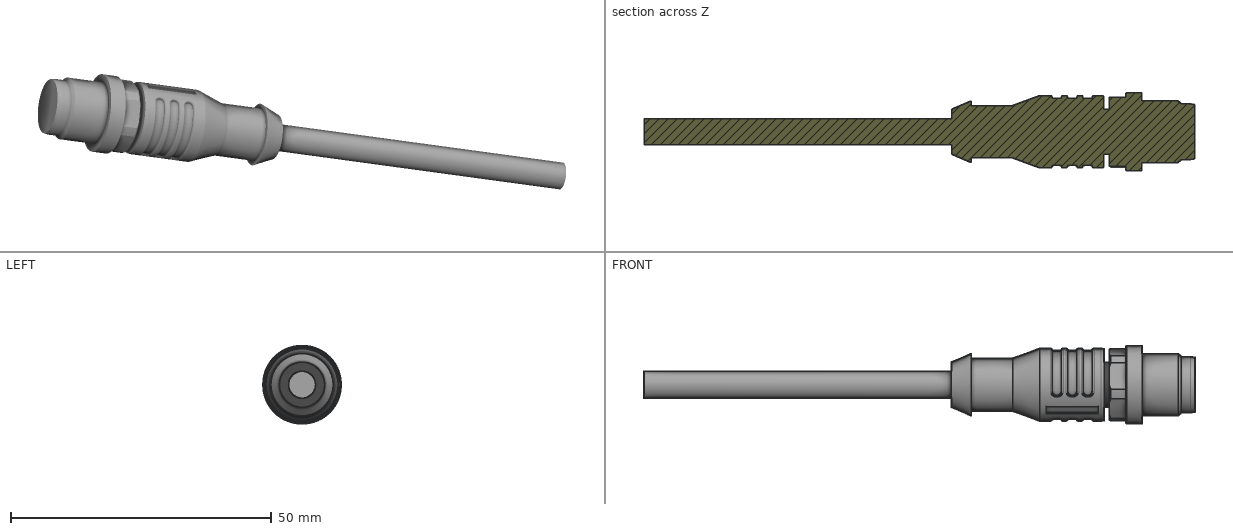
import cadquery as cq
import math

total_length = 106

cable_diameter = 5.2

boot_start = 59.1
boot_tip_diameter = 8.7
flare_end = 63.0
flare_diameter = 12.0
boot_neck_diameter = 10.2
shoulder_start = 70.9

grip_start = 76.1
grip_end = 88.5
grip_diameter = 14.0
grip_taper_start = 87.9
grip_end_diameter = 13.8

gap_diameter = 8.7

nut_start = 89.5
nut_diameter = grip_diameter
nut_across_flats = 12.9
nut_chamfer = 0.3
flat_turn = 15
half_face_turn = 180 / 6
flange_start = 92.6
flange_end = 95.8
flange_diameter = 15.0
flange_chamfer = 0.2

sleeve_diameter = 12.0
sleeve_chamfer_start = 102.7
collar_start = 103.4
collar_diameter = 10.8
collar_lip = 1.0
collar_tip_diameter = 10.5

groove_count = 3
groove_pitch = 3.0
groove_middle = 82.4
groove_width = 2.5
groove_depth = 0.5
groove_rim_radius = 0.4
groove_sweep = 112
groove_turns = (45, 225)
key_width = 1.8
key_depth = 0.4
key_start = 77.4
key_end = 87.3
key_turns = (135, 315)

x_axis = ((0, 0, 0), (1, 0, 0))


def turn_about_axis(solid, angle):
    """Turn a solid about X; 0 faces -Y and 90 faces +Z."""
    return solid.rotate(*x_axis, -angle)


def rod(start, end, diameter):
    """Round bar along X."""
    return cq.Workplane("YZ", origin=(start, 0, 0)).circle(diameter / 2).extrude(end - start)


def turned_body():
    """Everything round about X except the hexagon, as half of its outline revolved."""
    steps = [
        (0, cable_diameter),
        (boot_start, cable_diameter),
        (boot_start, boot_tip_diameter),
        (flare_end, flare_diameter),
        (flare_end, boot_neck_diameter),
        (shoulder_start, boot_neck_diameter),
        (grip_start, grip_diameter),
        (grip_taper_start, grip_diameter),
        (grip_end, grip_end_diameter),
        (grip_end, gap_diameter),
        (flange_start, gap_diameter),
        (flange_start, flange_diameter - 2 * flange_chamfer),
        (flange_start + flange_chamfer, flange_diameter),
        (flange_end, flange_diameter),
        (flange_end, sleeve_diameter),
        (sleeve_chamfer_start, sleeve_diameter),
        (collar_start, collar_diameter),
        (total_length - collar_lip, collar_diameter),
        (total_length, collar_tip_diameter),
    ]
    outline = [(0, 0)] + [(x, diameter / 2) for x, diameter in steps] + [(total_length, 0)]
    return cq.Workplane("XY").polyline(outline).close().revolve(360, *x_axis)


def nut_hexagon():
    """Hexagon whose corners are rounded off and chamfered at the cable end."""
    length = flange_start - nut_start
    corner_diameter = nut_across_flats / math.cos(math.radians(half_face_turn))
    hexagon = cq.Workplane("YZ", origin=(nut_start, 0, 0)).polygon(6, corner_diameter).extrude(length)
    hexagon = turn_about_axis(hexagon, flat_turn + half_face_turn)
    envelope = rod(nut_start, flange_start, nut_diameter).faces("<X").chamfer(nut_chamfer)
    return hexagon.intersect(envelope)


def groove_half_section(x):
    """Half of the groove section at the -Y side: a straight wall that rounds outward at the rim."""
    rim = groove_width / 2
    wall = rim - groove_rim_radius
    rim_y = -grip_diameter / 2
    wall_top_y = rim_y + groove_rim_radius
    outer_y = rim_y - groove_depth
    arc_middle = (
        rim - groove_rim_radius * math.cos(math.pi / 4),
        rim_y + groove_rim_radius * (1 - math.sin(math.pi / 4)),
    )
    return (
        cq.Workplane("XY", origin=(x, 0, 0))
        .lineTo(wall, 0)
        .lineTo(wall, wall_top_y)
        .threePointArc(arc_middle, (rim, rim_y))
        .lineTo(rim, outer_y)
        .lineTo(0, outer_y)
        .close()
    )


def grip_groove(x):
    """Groove along part of the circumference with round ends, centred on -Y."""
    half_run = groove_half_section(x).revolve(groove_sweep, (0, 0, 0), (1, 0, 0))
    half_run = half_run.rotate(*x_axis, -groove_sweep / 2)
    groove = half_run.union(half_run.mirror("YZ", (x, 0, 0)))
    round_end = groove_half_section(x).revolve(360, (0, 0, 0), (0, 1, 0))
    for end in (-groove_sweep / 2, groove_sweep / 2):
        groove = groove.union(turn_about_axis(round_end, end))
    return groove.cut(rod(grip_start, grip_end, grip_diameter - 2 * groove_depth))


def key_recess():
    """Straight recess along X with a flat floor, centred on -Y."""
    size = (key_end - key_start, grip_diameter, key_width)
    centre = ((key_start + key_end) / 2, key_depth - grip_diameter, 0)
    return cq.Workplane("XY").box(*size).translate(centre)


result = turned_body().union(nut_hexagon())

for turn in groove_turns:
    for index in range(groove_count):
        groove_x = groove_middle + (index - (groove_count - 1) / 2) * groove_pitch
        result = result.cut(turn_about_axis(grip_groove(groove_x), turn))

for turn in key_turns:
    result = result.cut(turn_about_axis(key_recess(), turn))